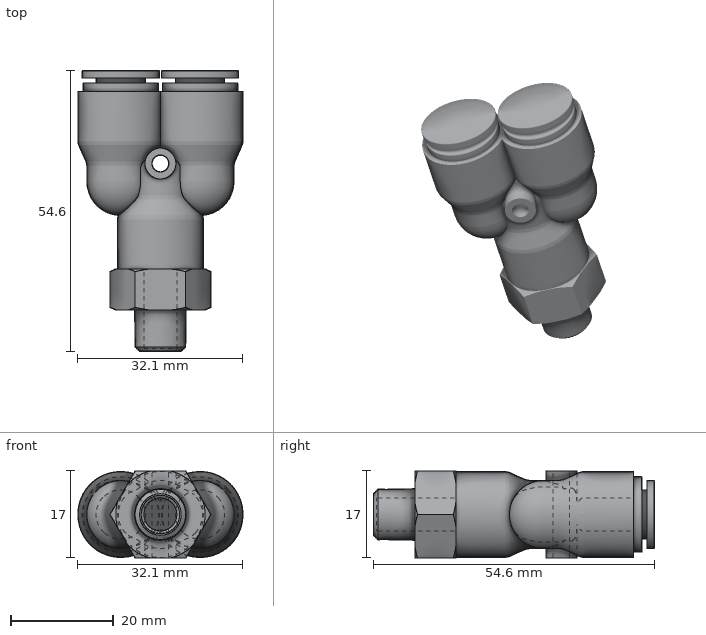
import cadquery as cq


TOTAL_LENGTH = 54.6
HEX_START = 8.0
HEX_HEIGHT = 8.0
HEX_END = HEX_START + HEX_HEIGHT
STEM_SHOULDER = 26.05
TAPER_LENGTH = 3.95
STEM_WAIST = STEM_SHOULDER + TAPER_LENGTH
DOME_CENTRE = 33.05
BRANCH_SHOULDER = 40.45
BRANCH_WAIST = BRANCH_SHOULDER - TAPER_LENGTH
FLANGE_THICKNESS = 1.5
COLLAR_LENGTH = 1.65
NECK_LENGTH = 0.95
FLANGE_START = TOTAL_LENGTH - FLANGE_THICKNESS
COLLAR_END = FLANGE_START - NECK_LENGTH
COLLAR_START = COLLAR_END - COLLAR_LENGTH

BODY_RADIUS = 16.7 / 2
WAIST_RADIUS = 6.6
BRANCH_OFFSET = 7.7
NECK_BLEND = 2.0
STEM_TOP = 37.5
STEM_TOP_FILLET = 2.0
EYE_CENTRE = 36.55
EYE_DIAMETER = 6.0
EYE_HOLE_DIAMETER = 3.2

HEX_FLATS = 17.0
HEX_CHAMFER_RADIUS = 8.7
HEX_CHAMFER_DEPTH = 0.55
THREAD_BASE_RADIUS = 5.0
THREAD_TIP_RADIUS = 4.9
TIP_CHAMFER = 0.9
BORE_DIAMETER = 6.4
BORE_CHAMFER = 0.55

COLLAR_DIAMETER = 14.7
SLEEVE_NECK_DIAMETER = 9.6
FLANGE_WIDTH = 15.0
FLANGE_HEIGHT = 13.25
RIM_FILLET = 0.2


def section_at(y, x=0):
    """Workplane across the Y axis, extruding toward +Y."""
    return cq.Workplane(cq.Plane(origin=(x, y, 0), xDir=(1, 0, 0), normal=(0, 1, 0)))


def turn(profile):
    """Revolve a closed profile, drawn with X as radius, around the Y axis."""
    return profile.close().revolve(360, (0, 0, 0), (0, 1, 0))


def fillet_rings(solid, stations, radius):
    """Fillet the circular edges that lie at the given Y stations."""
    reach = 0.05
    for y in stations:
        ring = cq.selectors.BoxSelector((-reach, y - reach, -reach), (reach, y + reach, reach))
        solid = solid.edges("%CIRCLE").edges(ring).fillet(radius)
    return solid


def make_stem():
    """Central stem that narrows to a waist and ends between the branches."""
    profile = (
        cq.Workplane("XY")
        .moveTo(0, HEX_END)
        .lineTo(BODY_RADIUS, HEX_END)
        .lineTo(BODY_RADIUS, STEM_SHOULDER)
        .lineTo(WAIST_RADIUS, STEM_WAIST)
        .lineTo(WAIST_RADIUS, STEM_TOP)
        .lineTo(0, STEM_TOP)
    )
    stem = fillet_rings(turn(profile), (STEM_SHOULDER, STEM_WAIST), NECK_BLEND)
    return fillet_rings(stem, (STEM_TOP,), STEM_TOP_FILLET)


def make_branch():
    """Tube branch on the Y axis, with a domed lower end."""
    dome_mid = WAIST_RADIUS * 0.5 ** 0.5
    profile = (
        cq.Workplane("XY")
        .moveTo(0, DOME_CENTRE - WAIST_RADIUS)
        .threePointArc((dome_mid, DOME_CENTRE - dome_mid), (WAIST_RADIUS, DOME_CENTRE))
        .lineTo(WAIST_RADIUS, BRANCH_WAIST)
        .lineTo(BODY_RADIUS, BRANCH_SHOULDER)
        .lineTo(BODY_RADIUS, COLLAR_START)
        .lineTo(0, COLLAR_START)
    )
    return fillet_rings(turn(profile), (BRANCH_WAIST, BRANCH_SHOULDER), NECK_BLEND)


def make_eye(diameter):
    """Vertical round bar through the crotch, as tall as the hexagon."""
    return (
        cq.Workplane("XY", origin=(0, EYE_CENTRE, 0))
        .circle(diameter / 2)
        .extrude(HEX_FLATS / 2, both=True)
    )


def make_housing():
    """Stem, two branches and the mounting eye in one piece."""
    housing = make_eye(EYE_DIAMETER)
    for x in (-BRANCH_OFFSET, BRANCH_OFFSET):
        housing = housing.union(make_branch().translate((x, 0, 0)))
    return housing.union(make_stem()).cut(make_eye(EYE_HOLE_DIAMETER))


def make_hexagon():
    """Hexagon with two flats facing +Z and -Z and chamfered corners at both ends."""
    corner_radius = HEX_FLATS / 3 ** 0.5
    hexagon = section_at(HEX_START).polygon(6, 2 * corner_radius).extrude(HEX_HEIGHT)
    corner_trim = turn(
        cq.Workplane("XY")
        .moveTo(0, HEX_START)
        .lineTo(HEX_CHAMFER_RADIUS, HEX_START)
        .lineTo(corner_radius, HEX_START + HEX_CHAMFER_DEPTH)
        .lineTo(corner_radius, HEX_END - HEX_CHAMFER_DEPTH)
        .lineTo(HEX_CHAMFER_RADIUS, HEX_END)
        .lineTo(0, HEX_END)
    )
    return hexagon.intersect(corner_trim)


def make_stud():
    """Hexagon with a tapered threaded end and a bore right through."""
    thread = turn(
        cq.Workplane("XY")
        .lineTo(THREAD_TIP_RADIUS - TIP_CHAMFER, 0)
        .lineTo(THREAD_TIP_RADIUS, TIP_CHAMFER)
        .lineTo(THREAD_BASE_RADIUS, HEX_START)
        .lineTo(0, HEX_START)
    )
    bore_radius = BORE_DIAMETER / 2
    bore = turn(
        cq.Workplane("XY")
        .lineTo(bore_radius + BORE_CHAMFER, 0)
        .lineTo(bore_radius, BORE_CHAMFER)
        .lineTo(bore_radius, HEX_END)
        .lineTo(0, HEX_END)
    )
    return make_hexagon().union(thread).cut(bore)


def make_collar(x):
    """Round collar seated on the end of a branch."""
    collar = section_at(COLLAR_START, x).circle(COLLAR_DIAMETER / 2).extrude(COLLAR_LENGTH)
    return collar.faces(">Y").edges().fillet(RIM_FILLET)


def make_release_sleeve(x):
    """Short round neck carrying an oval push flange."""
    neck = section_at(COLLAR_END, x).circle(SLEEVE_NECK_DIAMETER / 2).extrude(NECK_LENGTH)
    flange = (
        section_at(FLANGE_START, x)
        .ellipse(FLANGE_WIDTH / 2, FLANGE_HEIGHT / 2)
        .extrude(FLANGE_THICKNESS)
        .faces(">Y")
        .edges()
        .fillet(RIM_FILLET)
    )
    return neck.union(flange)


housing = make_housing()
stud = make_stud()
collars = []
release_sleeves = []
for branch_x in (-BRANCH_OFFSET, BRANCH_OFFSET):
    collars.append(make_collar(branch_x).val())
    release_sleeves.append(make_release_sleeve(branch_x).val())

result = cq.Compound.makeCompound([housing.val(), stud.val(), *collars, *release_sleeves])